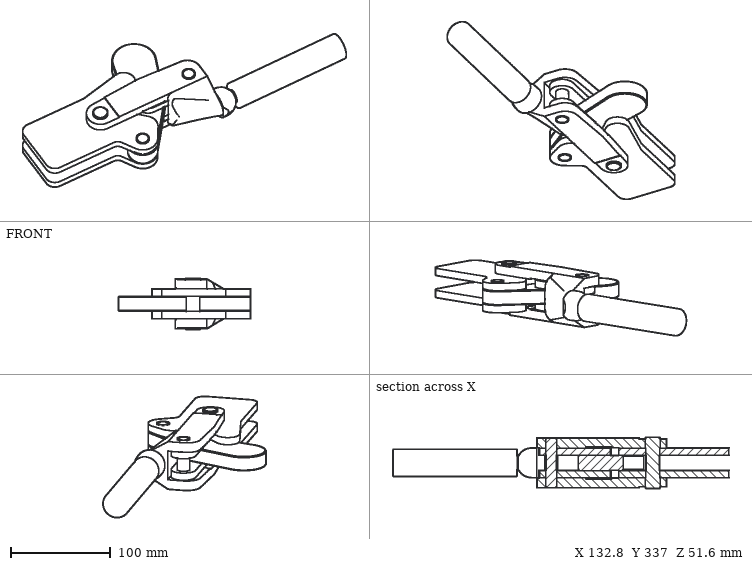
import cadquery as cq
import math


frame_gap = 15.0
plate_thickness = 7.5
cheek_thickness = 10.0
plate_outer_z = frame_gap / 2 + plate_thickness
lever_half_height = plate_outer_z + cheek_thickness

lever_pivot = (0.0, 0.0)
link_pin_place = (1.8, 101.8)
arm_pin_place = (42.9, 23.9)
pin_diameter = 13.0
pin_chamfer = 0.9
lever_pin_diameter = 14.0
lever_pin_head_diameter = 15.2
lever_pin_total_length = 51.6
lever_pin_chamfer = 0.8

plate_left = -31.2
plate_right = 32.8
plate_bottom = -76.5
plate_corner_radius = 10.0
lobe_radius = 15.0
horn_center = (-29.3, 44.3)
horn_radius = 12.0
horn_crown_angle = 110.0
left_bend_y = -1.0
lobe_lower_slope = 30.0
lobe_upper_slope = 32.0
lobe_top_radius = 13.0
neck_radius = 8.0
notch_bottom = (4.6, 26.2)
notch_radius = 12.0
notch_slope = 45.0

arm_thickness = frame_gap
arm_nose_center = (-52.55, 70.4)
arm_nose_radius = 22.4
arm_back_corner = (7.2, 71.3)
arm_belly_corner = (-19.5, 38.2)
arm_back_radius = 20.0
arm_edge_chamfer = 1.0

link_radius = 12.5
link_length = 47.5

lever_end_radius = 14.0
lever_top = 116.3
lever_left_top = -15.1
lever_elbow = (-18.0, 54.3)
lever_corner_radius = 14.0
step_y = 13.7
step_depth = 1.0
relief_width = 25.5
relief_depth = 1.0

ball_center = (32.3, 121.4)
ball_radius = 15.0
link_clearance = 0.2
web_inner_x = link_pin_place[0] + link_radius + link_clearance
web_bottom = 70.4
web_wall_lean = 23.2
web_corner_radius = 8.4
web_bulge = 7.6
web_foot_edge_radius = 5.2
wedge_slope = 31.0

handle_lean = 0.5
rod_diameter = 14.0
grip_diameter = 27.5
grip_start = 14.6
grip_end = 139.0
grip_edge_radius = 1.0
grip_end_wall = (grip_diameter - rod_diameter) / 2


def along(point, angle, distance):
    """The point at a distance from another, in a direction given in degrees from +X."""
    turn = math.radians(angle)
    return (point[0] + distance * math.cos(turn), point[1] + distance * math.sin(turn))


def crossing(point_a, angle_a, point_b, angle_b):
    """Where two lines cross, each given by a point and a direction in degrees."""
    ux, uy = along((0, 0), angle_a, 1)
    vx, vy = along((0, 0), angle_b, 1)
    dx, dy = point_b[0] - point_a[0], point_b[1] - point_a[1]
    return along(point_a, angle_a, (dx * vy - dy * vx) / (ux * vy - uy * vx))


def direction(start, end):
    """The direction from one point to another, in degrees from +X."""
    return math.degrees(math.atan2(end[1] - start[1], end[0] - start[0]))


def tangent_point(point, center, radius, side):
    """Where a line from a point touches a circle; side +1 is left of the way there, -1 right."""
    distance = math.dist(point, center)
    swing = math.degrees(math.acos(radius / distance))
    return along(center, direction(center, point) - side * swing, radius)


def disc(place, radius, z_low, z_high):
    return cq.Workplane("XY", origin=(*place, z_low)).circle(radius).extrude(z_high - z_low)


def through_hole(place, diameter):
    return disc(place, diameter / 2, -lever_half_height, lever_half_height)


def round_corner(prism, corner, radius):
    """Fillet the upright edge that stands nearest to a corner of the outline."""
    place = (*corner, prism.val().Center().z)
    return prism.edges("|Z").edges(cq.NearestToPointSelector(place)).fillet(radius)


def both_sides(body):
    """The body together with its mirror image below the mid-plane, as one workplane."""
    return body.add(body.mirror("XY").val()).combine()


def make_frame_plate(z_low):
    bend = (plate_left, left_bend_y)
    horn_left = tangent_point(bend, horn_center, horn_radius, 1)
    horn_crown = along(horn_center, horn_crown_angle, horn_radius)
    horn_right = along(horn_center, notch_slope, horn_radius)
    lobe_start = along(arm_pin_place, 90 - lobe_upper_slope, lobe_radius)
    lobe_end = along(arm_pin_place, lobe_lower_slope - 90, lobe_radius)
    lobe_far = (arm_pin_place[0] + lobe_radius, arm_pin_place[1])
    notch_floor = crossing(notch_bottom, notch_slope, horn_right, -notch_slope)
    lobe_top = crossing(notch_bottom, notch_slope, lobe_start, -lobe_upper_slope)
    neck = crossing(lobe_end, lobe_lower_slope, (plate_right, 0), 90)
    plate = (
        cq.Workplane("XY", origin=(0, 0, z_low))
        .moveTo(plate_left, plate_bottom)
        .lineTo(*bend)
        .lineTo(*horn_left)
        .threePointArc(horn_crown, horn_right)
        .lineTo(*notch_floor)
        .lineTo(*lobe_top)
        .lineTo(*lobe_start)
        .threePointArc(lobe_far, lobe_end)
        .lineTo(*neck)
        .lineTo(plate_right, plate_bottom)
        .close()
        .extrude(plate_thickness)
    )
    plate = round_corner(plate, (plate_left, plate_bottom), plate_corner_radius)
    plate = round_corner(plate, (plate_right, plate_bottom), plate_corner_radius)
    plate = round_corner(plate, notch_floor, notch_radius)
    plate = round_corner(plate, lobe_top, lobe_top_radius)
    plate = round_corner(plate, neck, neck_radius)
    plate = plate.cut(through_hole(arm_pin_place, pin_diameter))
    return plate.cut(through_hole(lever_pivot, lever_pin_diameter))


def make_arm():
    nose_top = tangent_point(arm_back_corner, arm_nose_center, arm_nose_radius, -1)
    nose_bottom = tangent_point(arm_belly_corner, arm_nose_center, arm_nose_radius, 1)
    nose_far = (arm_nose_center[0] - arm_nose_radius, arm_nose_center[1])
    tail_top = tangent_point(arm_back_corner, arm_pin_place, lobe_radius, 1)
    tail_bottom = tangent_point(arm_belly_corner, arm_pin_place, lobe_radius, -1)
    tail_far = (arm_pin_place[0] + lobe_radius, arm_pin_place[1])
    arm = (
        cq.Workplane("XY", origin=(0, 0, -arm_thickness / 2))
        .moveTo(*nose_top)
        .lineTo(*arm_back_corner)
        .lineTo(*tail_top)
        .threePointArc(tail_far, tail_bottom)
        .lineTo(*arm_belly_corner)
        .lineTo(*nose_bottom)
        .threePointArc(nose_far, nose_top)
        .close()
        .extrude(arm_thickness)
    )
    arm = round_corner(arm, arm_back_corner, arm_back_radius)
    arm = arm.faces("<Z or >Z").edges().chamfer(arm_edge_chamfer)
    return arm.cut(through_hole(arm_pin_place, pin_diameter))


def make_link(z_low):
    x, y = link_pin_place
    link = (
        cq.Workplane("XY", origin=(x, y - link_length / 2, z_low))
        .slot2D(link_length + 2 * link_radius, 2 * link_radius, 90)
        .extrude(plate_thickness)
    )
    return link.cut(through_hole(link_pin_place, pin_diameter))


def make_cheek():
    """The upper side plate of the lever, with its low end step and its inner relief."""
    elbow_end = tangent_point(lever_elbow, lever_pivot, lever_end_radius, -1)
    top_left = (lever_left_top, lever_top)
    cheek = (
        cq.Workplane("XY", origin=(0, 0, plate_outer_z))
        .moveTo(lever_end_radius, 0)
        .lineTo(lever_end_radius, lever_top)
        .lineTo(*top_left)
        .lineTo(*lever_elbow)
        .lineTo(*elbow_end)
        .threePointArc((0, -lever_end_radius), (lever_end_radius, 0))
        .close()
        .extrude(cheek_thickness)
    )
    cheek = round_corner(cheek, top_left, lever_corner_radius)
    step = (
        cq.Workplane("XY", origin=(0, step_y, lever_half_height - step_depth))
        .rect(4 * lever_end_radius, 4 * step_y)
        .extrude(step_depth)
        .translate((0, -2 * step_y, 0))
    )
    relief = (
        cq.Workplane("XY", origin=(0, lever_elbow[1], plate_outer_z))
        .rect(4 * lever_end_radius, relief_width)
        .extrude(relief_depth)
    )
    return cheek.cut(step).cut(relief)


def handle_cylinder(diameter, start, end):
    """A cylinder on the handle axis, placed by its distances from the ball center."""
    cylinder = cq.Workplane("XZ").circle(diameter / 2).extrude(start - end)
    cylinder = cylinder.translate((0, start, 0)).rotate((0, 0, 0), (0, 0, 1), handle_lean)
    return cylinder.translate((*ball_center, 0))


def wall_x(y):
    """How far the leaning outer wall of the web reaches at a height y."""
    lean = math.tan(math.radians(web_wall_lean))
    return ball_center[0] + ball_radius - (ball_center[1] - y) * lean


def flank_z(x):
    """Half the height of the web, which falls away from the cheeks."""
    return lever_half_height - (x - lever_end_radius) * math.tan(math.radians(wedge_slope))


def web_section(y):
    """Outline of the web across Y: sloped flanks that end in a bulging outer wall."""
    bulge_start = wall_x(y) - web_bulge
    return (
        cq.Workplane("XZ", origin=(0, y, 0))
        .moveTo(lever_end_radius, lever_half_height)
        .lineTo(bulge_start, flank_z(bulge_start))
        .threePointArc((wall_x(y), 0), (bulge_start, -flank_z(bulge_start)))
        .lineTo(lever_end_radius, -lever_half_height)
        .close()
        .val()
    )


def make_web():
    """The wedge-shaped web that joins the cheeks, narrowing towards its outer wall."""
    sections = [web_section(lever_top), web_section(web_bottom)]
    web = cq.Workplane(cq.Solid.makeLoft(sections, True))
    foot_corner = (wall_x(web_bottom), web_bottom)
    plan = (
        cq.Workplane("XY", origin=(0, 0, -lever_half_height))
        .moveTo(lever_end_radius, lever_top)
        .lineTo(wall_x(lever_top), lever_top)
        .lineTo(*foot_corner)
        .lineTo(lever_end_radius, web_bottom)
        .close()
        .extrude(2 * lever_half_height)
    )
    plan = round_corner(plan, foot_corner, web_corner_radius)
    tip = wall_x(lever_top)
    rounded_wedge = (
        cq.Workplane("XZ", origin=(0, lever_top, 0))
        .moveTo(lever_end_radius, lever_half_height)
        .lineTo(tip, flank_z(tip))
        .lineTo(tip, -flank_z(tip))
        .lineTo(lever_end_radius, -lever_half_height)
        .close()
        .extrude(lever_top - web_bottom)
        .faces("<Y")
        .edges("not |Z")
        .fillet(web_foot_edge_radius)
    )
    return web.intersect(plan).intersect(rounded_wedge)


def make_collar():
    """The round root of the handle, trimmed on its outer side along the leaning wall."""
    collar = handle_cylinder(2 * ball_radius, lever_top - ball_center[1], 0)
    wall_top = (wall_x(ball_center[1]), ball_center[1])
    wall_foot = (wall_x(web_bottom), web_bottom)
    outside_wall = (
        cq.Workplane("XY", origin=(0, 0, -ball_radius))
        .polyline([wall_top, wall_foot, (wall_top[0] + ball_radius, web_bottom)])
        .close()
        .extrude(2 * ball_radius)
    )
    return collar.cut(outside_wall)


def make_neck():
    """The half ball on the handle axis and the rod above it."""
    ball = cq.Workplane("XY").sphere(ball_radius).translate((*ball_center, 0))
    ball = ball.intersect(handle_cylinder(2 * ball_radius, 0, grip_start))
    return ball.union(handle_cylinder(rod_diameter, 0, grip_end - grip_end_wall))


def make_lever():
    link_space = cq.Workplane("XY").box(2 * web_inner_x, 2 * lever_top, 2 * plate_outer_z)
    web = make_web().cut(link_space)
    lever = both_sides(make_cheek()).union(web).union(make_collar()).union(make_neck())
    lever = lever.cut(through_hole(link_pin_place, pin_diameter))
    return lever.cut(lever_pin)


def make_grip():
    grip = handle_cylinder(grip_diameter, grip_start, grip_end)
    grip = grip.edges().edges(">Y or <Y").fillet(grip_edge_radius)
    return grip.cut(handle_cylinder(rod_diameter, 0, grip_end - grip_end_wall))


def make_flush_pin(place, half_length):
    pin = disc(place, pin_diameter / 2, -half_length, half_length)
    return pin.faces("<Z or >Z").chamfer(pin_chamfer)


def make_lever_pin():
    """The lever pivot, with a wider head at each end that stands in the cheek."""
    shaft = disc(lever_pivot, lever_pin_diameter / 2, -plate_outer_z, plate_outer_z)
    head = disc(lever_pivot, lever_pin_head_diameter / 2, plate_outer_z, lever_pin_total_length / 2)
    head = head.faces(">Z").chamfer(lever_pin_chamfer)
    return shaft.union(both_sides(head))


lever_pin = make_lever_pin()
link_pin = make_flush_pin(link_pin_place, lever_half_height)
arm_pin = make_flush_pin(arm_pin_place, plate_outer_z)
lever = make_lever()
grip = make_grip()
arm = make_arm()
layer_bottoms = (frame_gap / 2, -plate_outer_z)
frame_plates = [make_frame_plate(z_low) for z_low in layer_bottoms]
links = [make_link(z_low) for z_low in layer_bottoms]

bodies = [*frame_plates, *links, arm, lever, grip, lever_pin, link_pin, arm_pin]
result = cq.Compound.makeCompound([body.val() for body in bodies])